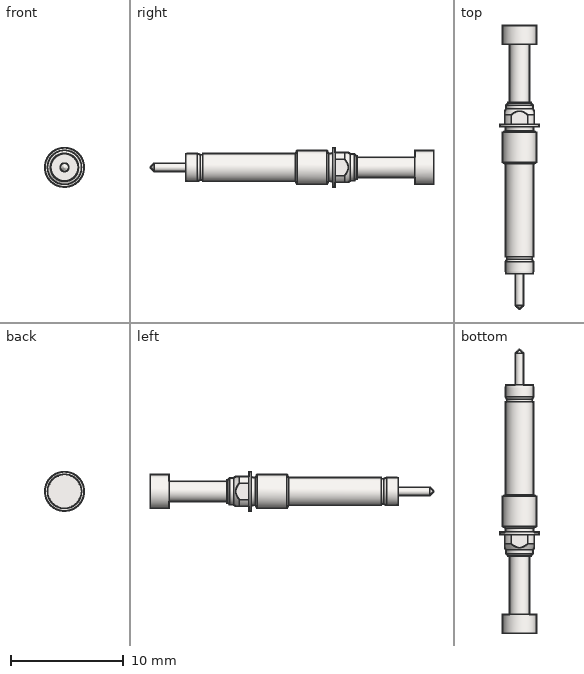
import cadquery as cq

LENGTH = 25.15

NEEDLE_R = 0.38
NEEDLE_TIP_LENGTH = 0.35

BARREL_R = 2.5 / 2
BARREL_FRONT_Y = 3.15
BARREL_CHAMFER_R = 1.2
BARREL_CHAMFER_LENGTH = 0.23
GROOVE_R = 1.13
GROOVE_FRONT_Y = 4.2
GROOVE_RAMP_LENGTH = 0.23
GROOVE_REAR_Y = 4.65

SLEEVE_R = 1.5
SLEEVE_FRONT_Y = 13.03
SLEEVE_REAR_Y = 15.67
SLEEVE_TAPER_LENGTH = 0.15

NECK_R = BARREL_R
NECK_FLARE_R = 1.28
NECK_FLARE_FRONT_Y = 16.02

FLANGE_R = 3.5 / 2
FLANGE_FRONT_Y = 16.17
FLANGE_REAR_Y = 16.4

COLLAR_R = SLEEVE_R
COLLAR_ACROSS_FLATS = 2.65
COLLAR_CONE_FRONT_Y = 17.23
COLLAR_CONE_REAR_Y = 17.75
FLAT_COUNT = 4

LIP_R = 1.2
LIP_REAR_Y = 18.08
LIP_END_R = 1.03
LIP_END_FRONT_Y = 18.25
LIP_END_REAR_Y = 18.33

SHANK_R = 0.9
HEAD_R = SLEEVE_R
HEAD_FRONT_Y = 23.46


def turned_body():
    """Revolve the half outline, given as (radius, Y) points, about the Y axis."""
    outline = [
        (0, 0),
        (NEEDLE_R, NEEDLE_TIP_LENGTH),
        (NEEDLE_R, BARREL_FRONT_Y),
        (BARREL_CHAMFER_R, BARREL_FRONT_Y),
        (BARREL_R, BARREL_FRONT_Y + BARREL_CHAMFER_LENGTH),
        (BARREL_R, GROOVE_FRONT_Y),
        (GROOVE_R, GROOVE_FRONT_Y + GROOVE_RAMP_LENGTH),
        (GROOVE_R, GROOVE_REAR_Y),
        (BARREL_R, GROOVE_REAR_Y),
        (BARREL_R, SLEEVE_FRONT_Y - SLEEVE_TAPER_LENGTH),
        (SLEEVE_R, SLEEVE_FRONT_Y),
        (SLEEVE_R, SLEEVE_REAR_Y),
        (NECK_R, SLEEVE_REAR_Y + SLEEVE_TAPER_LENGTH),
        (NECK_R, NECK_FLARE_FRONT_Y),
        (NECK_FLARE_R, FLANGE_FRONT_Y),
        (FLANGE_R, FLANGE_FRONT_Y),
        (FLANGE_R, FLANGE_REAR_Y),
        (COLLAR_R, FLANGE_REAR_Y),
        (COLLAR_R, COLLAR_CONE_FRONT_Y),
        (LIP_R, COLLAR_CONE_REAR_Y),
        (LIP_R, LIP_REAR_Y),
        (LIP_END_R, LIP_END_FRONT_Y),
        (LIP_END_R, LIP_END_REAR_Y),
        (SHANK_R, LIP_END_REAR_Y),
        (SHANK_R, HEAD_FRONT_Y),
        (HEAD_R, HEAD_FRONT_Y),
        (HEAD_R, LENGTH),
        (0, LENGTH),
    ]
    return cq.Workplane("XY").polyline(outline).close().revolve(360, (0, 0), (0, 1))


def flat_cutter(angle):
    """Block outside one collar flat, turned about the Y axis from the +Z side."""
    width = 2 * COLLAR_R
    length = COLLAR_CONE_REAR_Y - FLANGE_REAR_Y
    block = cq.Workplane("XY").box(width, length, COLLAR_R, centered=(True, False, False))
    block = block.translate((0, FLANGE_REAR_Y, COLLAR_ACROSS_FLATS / 2))
    return block.rotate((0, 0, 0), (0, 1, 0), angle)


result = turned_body()
for index in range(FLAT_COUNT):
    result = result.cut(flat_cutter(index * 360 / FLAT_COUNT))